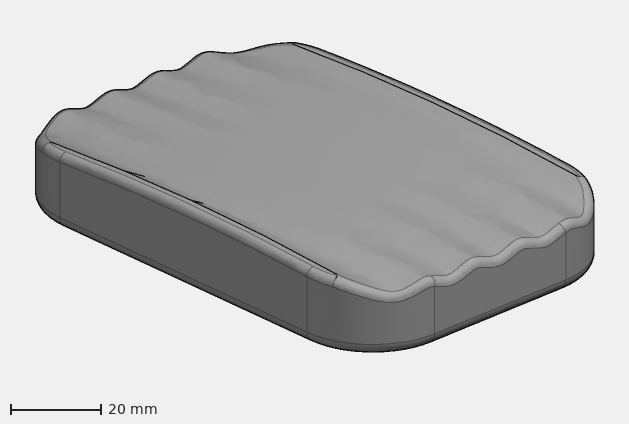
import cadquery as cq
import math

length = 120.0
width = 80.0
rim_height = 19.8
corner_radius = 20.0
bottom_fillet = 3.0
top_fillet = 1.9

rim_end_height = 16.8
rim_width = 3.5

valley_height = 18.0
valley_side_height = 18.6
valley_half_width = 33.8

ripple_pitch = 14.2
trough_height = 14.6
crest_height = 16.5
outer_trough_y = 29.5
outer_trough_height = 14.2
end_side_height = 15.8

overhang = 2.4
outline_tolerance = 0.01
end_x = length / 2 + overhang
side_y = width / 2 + overhang
rim_inner_y = width / 2 - rim_width


def valley_z(y):
    """Height of the parabolic valley at distance y from the centre line."""
    rise = valley_side_height - valley_height
    return valley_height + rise * (y / valley_half_width) ** 2


def section(x, half_profile, rim_z):
    """Closed YZ section at x: mirrored dish curve between two flat rims."""
    left_half = [(-y, z) for y, z in reversed(half_profile[1:])]
    dish = [cq.Vector(x, y, z) for y, z in left_half + half_profile]
    rim_left = cq.Vector(x, -rim_inner_y, rim_z)
    rim_right = cq.Vector(x, rim_inner_y, rim_z)
    side_left = cq.Vector(x, -side_y, rim_z)
    side_right = cq.Vector(x, side_y, rim_z)
    base_left = cq.Vector(x, -side_y, 0)
    base_right = cq.Vector(x, side_y, 0)
    edges = [
        cq.Edge.makeLine(side_left, rim_left),
        cq.Edge.makeSpline([rim_left] + dish + [rim_right]),
        cq.Edge.makeLine(rim_right, side_right),
        cq.Edge.makeLine(side_right, base_right),
        cq.Edge.makeLine(base_right, base_left),
        cq.Edge.makeLine(base_left, side_left),
    ]
    return cq.Wire.assembleEdges(edges)


end_profile = [
    (0, trough_height),
    (ripple_pitch / 2, crest_height),
    (ripple_pitch, trough_height),
    (1.5 * ripple_pitch, crest_height),
    (outer_trough_y, outer_trough_height),
    (valley_half_width, end_side_height),
]
middle_profile = [(y, valley_z(y)) for y, _ in end_profile]

under_top = cq.Solid.makeLoft(
    [
        section(-end_x, end_profile, rim_end_height),
        section(0, middle_profile, rim_height),
        section(end_x, end_profile, rim_end_height),
    ]
)

block = (
    cq.Workplane("XY")
    .rect(length, width)
    .extrude(rim_height + overhang)
    .edges("|Z")
    .fillet(corner_radius)
)
body = block.intersect(cq.Workplane(obj=under_top))

body = body.faces("<Z").edges().fillet(bottom_fillet)


def is_outer_top_edge(edge):
    """True for an edge above the vertical walls that follows the rounded outline."""
    middle = edge.positionAt(0.5)
    past_x = max(abs(middle.x) - (length / 2 - corner_radius), 0)
    past_y = max(abs(middle.y) - (width / 2 - corner_radius), 0)
    on_outline = abs(math.hypot(past_x, past_y) - corner_radius) < outline_tolerance
    return on_outline and edge.BoundingBox().zmin > rim_height / 2


outer_top_edges = [edge for edge in body.edges().vals() if is_outer_top_edge(edge)]
result = body.newObject(outer_top_edges).fillet(top_fillet)